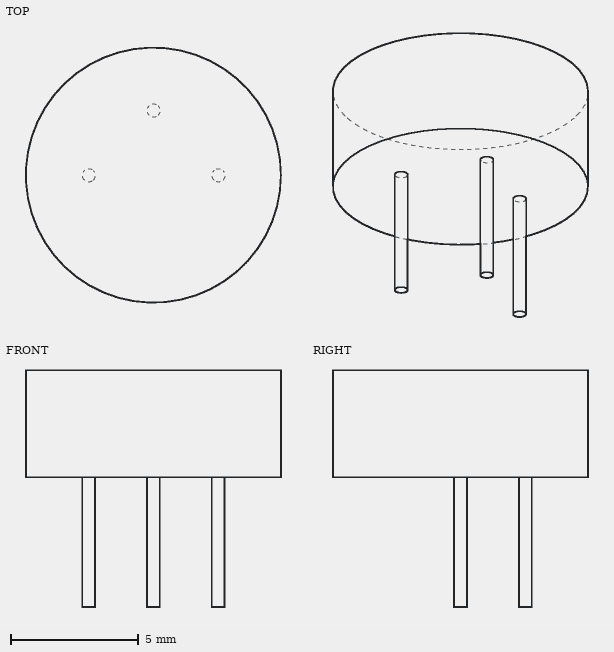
import cadquery as cq

housing_diameter = 10.01
housing_height = 4.2
pin_diameter = 0.51
pin_length = 5.09
pin_offset = 2.54

pin_positions = [
    (-pin_offset, 0),
    (pin_offset, 0),
    (0, pin_offset),
]


def make_housing():
    """Plain round housing standing on the plane Z = 0."""
    return cq.Workplane("XY").circle(housing_diameter / 2).extrude(housing_height)


def make_pin(x, y):
    """Straight round pin hanging down from the underside of the housing."""
    return cq.Workplane("XY").center(x, y).circle(pin_diameter / 2).extrude(-pin_length)


housing = make_housing()
pins = [make_pin(x, y) for x, y in pin_positions]

result = cq.Compound.makeCompound([housing.val(), *[pin.val() for pin in pins]])